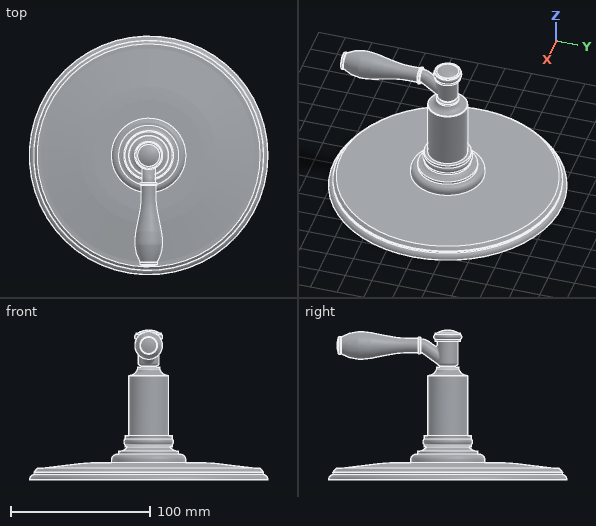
import cadquery as cq
import math

plate_radius = 85.7
plate_edge_round = 4.0
lip_radius = 82.5
lip_nose_radius = 82.6
lip_nose_height = 5.1
lip_top = 5.8
rim_radius = 80.5
rim_height = 8.4
rim_chamfer = 0.5
cone_outer_radius = 76.8
cone_inner_radius = 49.2
flat_radius = 39.6
plate_height = 12.3

foot_radius = 26.7
foot_round = 4.1
foot_round_start = 14.4
foot_top = foot_round_start + foot_round
foot_step_radius = 21.6
foot_step_top = 20.5
foot_cove_top_radius = 15.3

ring_radius = 17.0
ring_bottom = 23.7
bead_radius = 17.8
bead_bottom = 25.2
bead_top = 29.5
ring_top = 31.7

column_radius = 14.4
column_top = 74.8
column_chamfer = 0.3
shoulder_radius = 8.0
shoulder_cove_top = 79.7
shoulder_top = 81.0

neck_radius = 5.7
hub_bottom = 82.0
hub_radius = 7.5
hub_round = hub_radius - neck_radius
cap_radius = 9.3
cap_bottom = 99.5
cap_bead_radius = 10.1
cap_bead_bottom = 101.0
cap_bead_top = 104.4
cap_top = 105.5
dome_radius = 7.9
total_height = 107.7

lever_height = 96.5
arm_radius = 4.8
arm_angle = 36.0
arm_bend_radius = 5.1
arm_root_fillet = 1.0
collar_start = 19.4
collar_end = 21.5
collar_radius = 6.2
grip_neck_radius = 5.3
grip_neck_end = 29.0
grip_cone_start = (6.7, 41.8)
grip_cone_end = (9.3, 54.9)
grip_belly = (10.0, 64.1)
grip_end = (6.2, 76.5)
tip_ring_radius = 6.3
tip_ring_end = 78.7
dome_edge_radius = 5.5
lever_end = 79.5
ring_corner = 0.5


def band(start, end, radius, bulge_radius):
    """Middle and end points of an arc that bulges between two equal radii."""
    return (bulge_radius, (start + end) / 2), (radius, end)


def arc_middle(start, end, centre):
    """Point halfway along the minor arc from start to end about centre."""
    radius = math.dist(start, centre)
    across = ((start[0] + end[0]) / 2 - centre[0], (start[1] + end[1]) / 2 - centre[1])
    length = math.hypot(*across)
    return centre[0] + across[0] * radius / length, centre[1] + across[1] * radius / length


def cove_middle(start, end):
    """Middle of a hollow arc that leaves start horizontally and curves up to end."""
    inset = start[0] - end[0]
    rise = end[1] - start[1]
    radius = (inset**2 + rise**2) / (2 * rise)
    return arc_middle(start, end, (start[0], start[1] + radius))


def dome_middle(start, tip):
    """Middle of an arc from start to a tip on the turning axis, square to it there."""
    rise = tip[1] - start[1]
    radius = (start[0] ** 2 + rise**2) / (2 * abs(rise))
    return arc_middle(start, tip, (tip[0], tip[1] - math.copysign(radius, rise)))


def make_plate():
    """Round wall plate with a rolled edge, a raised rim and a shallow cone."""
    edge_centre = (plate_radius - plate_edge_round, 0)
    edge_start = (plate_radius, 0)
    edge_end = (lip_radius, math.sqrt(plate_edge_round**2 - (lip_radius - edge_centre[0]) ** 2))
    blend_middle_radius = (cone_inner_radius + flat_radius) / 2
    cone_slope = (plate_height - rim_height) / (cone_outer_radius - blend_middle_radius)
    cone_inner_height = rim_height + cone_slope * (cone_outer_radius - cone_inner_radius)
    return (
        cq.Workplane("XZ")
        .lineTo(*edge_start)
        .threePointArc(arc_middle(edge_start, edge_end, edge_centre), edge_end)
        .lineTo(lip_nose_radius, lip_nose_height)
        .lineTo(lip_radius, lip_top)
        .lineTo(rim_radius, rim_height - rim_chamfer)
        .lineTo(rim_radius - rim_chamfer, rim_height)
        .lineTo(cone_outer_radius, rim_height)
        .lineTo(cone_inner_radius, cone_inner_height)
        .tangentArcPoint((flat_radius, plate_height), relative=False)
        .lineTo(0, plate_height)
        .close()
        .revolve()
    )


def make_column():
    """Stepped foot, beaded ring, plain column and coved shoulder."""
    foot_centre = (foot_radius - foot_round, foot_round_start)
    foot_start = (foot_radius, foot_round_start)
    foot_end = (foot_radius - foot_round, foot_top)
    foot_cove_start = (foot_step_radius, foot_step_top)
    foot_cove_end = (foot_cove_top_radius, ring_bottom)
    cove_start = (column_radius - column_chamfer, column_top + column_chamfer)
    cove_end = (shoulder_radius, shoulder_cove_top)
    return (
        cq.Workplane("XZ")
        .lineTo(foot_radius, 0)
        .lineTo(*foot_start)
        .threePointArc(arc_middle(foot_start, foot_end, foot_centre), foot_end)
        .lineTo(foot_step_radius, foot_top)
        .lineTo(*foot_cove_start)
        .threePointArc(cove_middle(foot_cove_start, foot_cove_end), foot_cove_end)
        .lineTo(ring_radius, ring_bottom)
        .lineTo(ring_radius, bead_bottom)
        .threePointArc(*band(bead_bottom, bead_top, ring_radius, bead_radius))
        .lineTo(ring_radius, ring_top)
        .lineTo(column_radius, ring_top)
        .lineTo(column_radius, column_top)
        .lineTo(*cove_start)
        .threePointArc(cove_middle(cove_start, cove_end), cove_end)
        .lineTo(shoulder_radius, shoulder_top)
        .lineTo(0, shoulder_top)
        .close()
        .revolve()
    )


def make_hub():
    """Upright hub on a narrow neck, with a beaded and domed cap."""
    round_start = (neck_radius, hub_bottom)
    round_end = (hub_radius, hub_bottom + hub_round)
    round_centre = (neck_radius, hub_bottom + hub_round)
    dome_start = (dome_radius, cap_top)
    dome_end = (0, total_height)
    return (
        cq.Workplane("XZ")
        .moveTo(0, column_top)
        .lineTo(neck_radius, column_top)
        .lineTo(*round_start)
        .threePointArc(arc_middle(round_start, round_end, round_centre), round_end)
        .lineTo(hub_radius, cap_bottom)
        .lineTo(cap_radius, cap_bottom)
        .lineTo(cap_radius, cap_bead_bottom)
        .threePointArc(*band(cap_bead_bottom, cap_bead_top, cap_radius, cap_bead_radius))
        .lineTo(cap_radius, cap_top)
        .lineTo(*dome_start)
        .threePointArc(dome_middle(dome_start, dome_end), dome_end)
        .close()
        .revolve()
    )


def make_arm():
    """Tube that rises from the hub axis and bends level at the collar."""
    angle = math.radians(arm_angle)
    bend_run = arm_bend_radius * math.sin(angle)
    bend_drop = arm_bend_radius * (1 - math.cos(angle))
    bend_length = collar_start - bend_run
    root_height = lever_height - bend_drop - bend_length * math.tan(angle)
    slope = cq.Plane(
        origin=(0, 0, root_height),
        xDir=(1, 0, 0),
        normal=(0, -math.cos(angle), math.sin(angle)),
    )
    straight = cq.Workplane(slope).circle(arm_radius).extrude(bend_length / math.cos(angle))
    elbow = (
        cq.Workplane("XZ", origin=(0, -collar_start, lever_height))
        .circle(arm_radius)
        .revolve(arm_angle, (0, -arm_bend_radius), (-1, -arm_bend_radius))
    )
    below_hub = cq.Workplane(origin=(0, 0, hub_bottom)).circle(hub_radius).extrude(-hub_bottom)
    return straight.cut(below_hub).union(elbow)


def make_grip():
    """Collar, swelling grip and domed tip, turned about the lever axis."""
    dome_start = (dome_edge_radius, -tip_ring_end)
    dome_end = (0, -lever_end)
    swell = (grip_cone_start, grip_cone_end, grip_belly, grip_end)
    cone_start, cone_end, belly, end = [(radius, -distance) for radius, distance in swell]
    profile = (
        cq.Workplane("XY", origin=(0, 0, lever_height))
        .moveTo(0, -collar_start)
        .lineTo(collar_radius - ring_corner, -collar_start)
        .lineTo(collar_radius, -collar_start - ring_corner)
        .lineTo(collar_radius, -collar_end + ring_corner)
        .lineTo(collar_radius - ring_corner, -collar_end)
        .lineTo(grip_neck_radius, -collar_end)
        .lineTo(grip_neck_radius, -grip_neck_end)
        .tangentArcPoint(cone_start, relative=False)
        .lineTo(*cone_end)
        .tangentArcPoint(belly, relative=False)
        .tangentArcPoint(end, relative=False)
        .lineTo(tip_ring_radius, -grip_end[1] - ring_corner)
        .lineTo(tip_ring_radius, -tip_ring_end + ring_corner)
        .lineTo(tip_ring_radius - ring_corner, -tip_ring_end)
        .lineTo(*dome_start)
        .threePointArc(dome_middle(dome_start, dome_end), dome_end)
        .close()
    )
    return profile.revolve(360, (0, 0, 0), (0, 1, 0))


def make_handle():
    """Hub and arm, with the seam where they meet rounded."""
    seam_zone = cq.selectors.BoxSelector(
        (-hub_radius, -collar_start / 2, hub_bottom + hub_round / 2),
        (hub_radius, -hub_radius / 2, lever_height),
    )
    return make_hub().union(make_arm()).edges(seam_zone).fillet(arm_root_fillet)


result = make_plate().union(make_column()).union(make_handle()).union(make_grip())